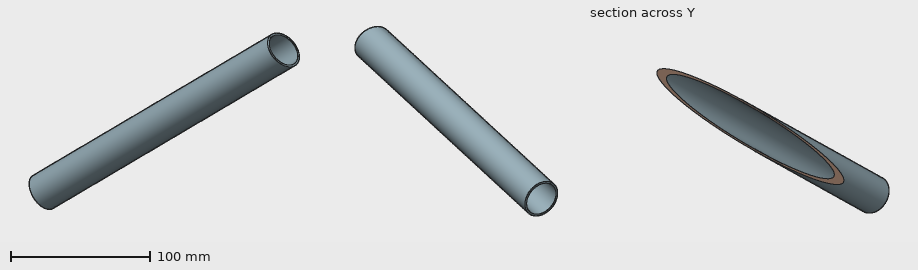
import cadquery as cq

outer_diameter = 28.0
wall_thickness = 1.5
inner_diameter = outer_diameter - 2 * wall_thickness

axis_run = cq.Vector(205.0, 40.1, 170.0)
axis_direction = axis_run.normalized()
lower_center = axis_run * -0.5
upper_center = axis_run * 0.5

lower_face_normal = cq.Vector(0.72, 0.27, 0.64)
upper_face_normal = cq.Vector(0.66, 0.15, 0.73)

trim_allowance = outer_diameter
cutter_size = 4 * outer_diameter


def long_tube():
    """Tube with square ends, longer than the finished part."""
    start = lower_center - axis_direction * trim_allowance
    return (
        cq.Workplane(cq.Plane(origin=start, normal=axis_direction))
        .circle(outer_diameter / 2)
        .circle(inner_diameter / 2)
        .extrude(axis_run.Length + 2 * trim_allowance)
    )


def end_cutter(center, outward_normal):
    """Block covering everything just outside an end face."""
    end_plane = cq.Plane(origin=center, normal=outward_normal)
    return cq.Workplane(end_plane).rect(cutter_size, cutter_size).extrude(cutter_size)


result = (
    long_tube()
    .cut(end_cutter(lower_center, -lower_face_normal))
    .cut(end_cutter(upper_center, upper_face_normal))
)